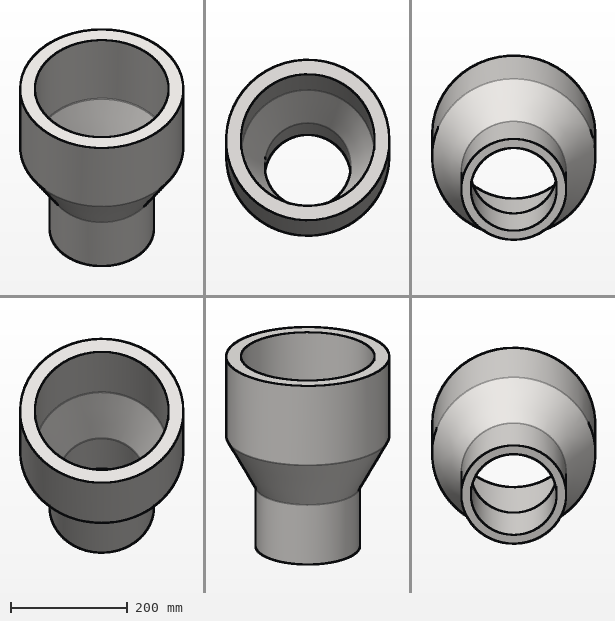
import cadquery as cq

total_height = 348.0
large_diameter = 280.0
large_bore = 229.5
small_diameter = 180.0
small_bore = 147.2
spigot_height = 110.0
cone_height = 92.0
outer_bend_radius = 3.0
inner_bend_radius = 6.5

cone_top = spigot_height + cone_height


def stepped_solid(small_radius, large_radius, bend_radius):
    """Revolve a lower cylinder, a cone and an upper cylinder about Z, then round both cone edges."""
    body = (
        cq.Workplane("XZ")
        .lineTo(small_radius, 0)
        .lineTo(small_radius, spigot_height)
        .lineTo(large_radius, cone_top)
        .lineTo(large_radius, total_height)
        .lineTo(0, total_height)
        .close()
        .revolve(360, (0, 0), (0, 1))
    )
    cone_edges = body.edges("%CIRCLE").edges("(not <Z) and (not >Z)")
    return cone_edges.fillet(bend_radius).val()


outer_body = stepped_solid(small_diameter / 2, large_diameter / 2, outer_bend_radius)
inner_passage = stepped_solid(small_bore / 2, large_bore / 2, inner_bend_radius)

result = cq.Workplane(outer_body).cut(cq.Workplane(inner_passage))